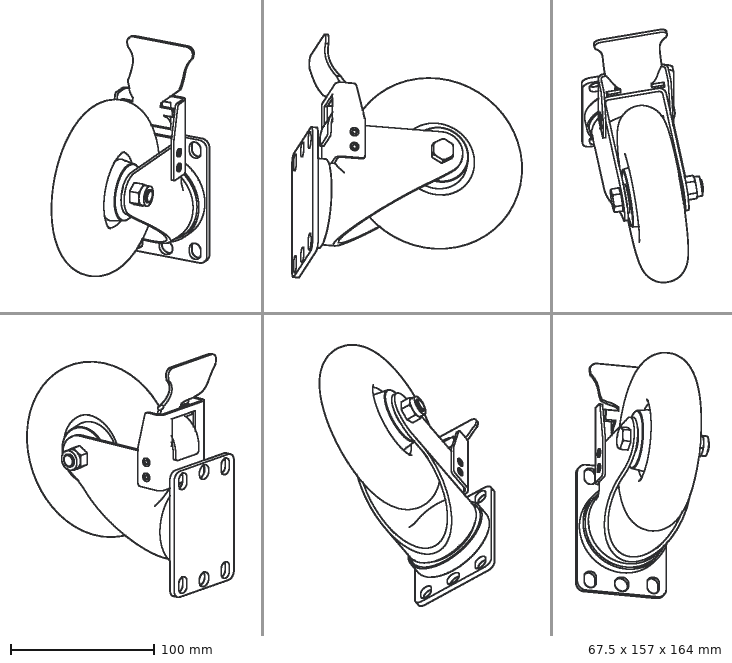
import cadquery as cq
import math


OVERALL_WIDTH = 67.5
OVERALL_DEPTH = 157.0
OVERALL_HEIGHT = 164.0

PLATE_WIDTH = 64.8
PLATE_HEIGHT = 92.0
PLATE_THICKNESS = 4.0
PLATE_CORNER = 6.0
SLOT_X = 23.0
SLOT_Z = 37.9
SLOT_WIDTH = 8.9
SLOT_HEIGHT = 11.8
ROUND_HOLE_DIAMETER = 10.3
ROUND_HOLE_Z = 39.2

CUP_RADIUS = 31.3
CUP_FRONT = 14.0
CUP_WALL = 1.5
CUP_RECESS = 1.6

FORK_SHEET = 2.5
FORK_RADIUS = 28.7
FORK_BEND = 5.0
FORK_WEB_DEPTH = 20.7
FORK_TOP = 52.0
LEG_OUTER = 22.8
BLEND_RADIUS = 20.2
FORK_SLOPE = 33.3

WHEEL_RADIUS = 62.5
TYRE_HALF_WIDTH = 16.0
DISH_DEPTH = 7.9
DISH_FLOOR_RADIUS = 26.9
HUB_RADIUS = 20.3
HUB_ROOT_RADIUS = 21.8
HUB_HALF_WIDTH = 18.2
HUB_CHAMFER = 0.5
SPACER_RADIUS = 10.2
AXLE_Y = WHEEL_RADIUS - OVERALL_DEPTH
AXLE_Z = 36.7

BOLT_RADIUS = 4.6
BOLT_END = OVERALL_WIDTH - PLATE_WIDTH / 2
BOLT_TIP_CHAMFER = 0.7
HEX_FLATS = 14.3
HEX_CHAMFER = 0.7
HEAD_HEIGHT = 5.9
NUT_HEIGHT = 7.4
COLLAR_RADIUS = 7.0
COLLAR_LENGTH = 3.8

BRACKET_SHEET = 2.0
BRACKET_BEND = 4.1
BRACKET_BOTTOM = 27.0
BRACKET_TOP = 82.2
BRACKET_DEPTH = 20.8
BRACKET_TOP_DEPTH = 14.1
BRACKET_SLOPE_Z = 55.1
BRACKET_TOP_CORNER = 2.5
BRACKET_BOTTOM_CORNER = 2.1
WINDOW_WIDTH = 25.0
WINDOW_BOTTOM = 57.2
WINDOW_TOP = 77.2
RIVET_RADIUS = 3.0
RIVET_BORE_RADIUS = 1.5
RIVET_HEIGHT = 0.5
RIVET_Y = -31.7
RIVET_HEIGHTS = (35.0, 46.0)

LEVER_SHEET = 2.3
PAD_BACK_Y = -10.8
PAD_TOP = OVERALL_HEIGHT - PLATE_HEIGHT / 2
PAD_BEND_Z = 109.7
PAD_HALF_WIDTH = 25.9
PAD_CORNER = 5.0
PAD_BOTTOM_HALF_WIDTH = 25.3
LEVER_HALF_WIDTH = 20.2
NECK_Z = 98.0
NECK_RADIUS = 15.9
TONGUE_HALF_WIDTH = 11.0
TAPER_TOP = 88.4
TAPER_BOTTOM = 80.7
SWEEP_RADIUS = 27.9
SWEEP_ANGLE = 63.0
CURL_RADIUS = 8.7
EAR_TOP = 77.9
EAR_BOTTOM = 71.3
HOOK_BACK_Y = -15.4
HOOK_BEND_Z = 52.5
HOOK_BOTTOM = 46.9
HOOK_CORNER = 2.5

LEG_INNER = LEG_OUTER - FORK_SHEET
BRACKET_OUTER = LEG_OUTER + BRACKET_SHEET
BRACKET_BACK_Y = BRACKET_SHEET - FORK_WEB_DEPTH
BRACKET_FRONT_Y = BRACKET_BACK_Y - BRACKET_DEPTH
BEYOND = 164.0


def polar(centre, radius, degrees):
    """Point on a circle, measured from the first axis towards the second."""
    angle = math.radians(degrees)
    return (centre[0] + radius * math.cos(angle), centre[1] + radius * math.sin(angle))


def box_between(x_half, y_range, z_range):
    """Box centred on X = 0."""
    size_y = y_range[1] - y_range[0]
    size_z = z_range[1] - z_range[0]
    box = cq.Workplane("XY").box(2 * x_half, size_y, size_z)
    return box.translate((0, sum(y_range) / 2, sum(z_range) / 2))


def cylinder_y(radius, start, end):
    """Cylinder on the swivel axis between two distances from the mounting face."""
    return cq.Workplane("XZ", origin=(0, -start, 0)).circle(radius).extrude(end - start)


def make_plate():
    plate = cq.Workplane("XZ").rect(PLATE_WIDTH, PLATE_HEIGHT).extrude(PLATE_THICKNESS)
    plate = plate.edges("|Y").fillet(PLATE_CORNER)
    slots = [(x, z) for x in (-SLOT_X, SLOT_X) for z in (-SLOT_Z, SLOT_Z)]
    slot_cut = cq.Workplane("XZ").pushPoints(slots).slot2D(SLOT_HEIGHT, SLOT_WIDTH, 90)
    holes = [(0, -ROUND_HOLE_Z), (0, ROUND_HOLE_Z)]
    hole_cut = cq.Workplane("XZ").pushPoints(holes).circle(ROUND_HOLE_DIAMETER / 2)
    return plate.cut(slot_cut.extrude(PLATE_THICKNESS)).cut(hole_cut.extrude(PLATE_THICKNESS))


def make_bearing_cup():
    cup = cylinder_y(CUP_RADIUS, PLATE_THICKNESS, CUP_FRONT).faces(">Y").edges().fillet(CUP_WALL)
    recess_floor = CUP_FRONT - CUP_RECESS
    recess = cylinder_y(CUP_RADIUS - CUP_WALL, recess_floor, CUP_FRONT)
    neck = cylinder_y(FORK_RADIUS - FORK_BEND, recess_floor, CUP_FRONT)
    return cup.cut(recess).union(neck)


def fork_block(inset):
    """Solid shape of the fork's outer face, moved inwards by `inset`."""
    radius = FORK_RADIUS - inset
    leg = LEG_OUTER - inset
    bend = FORK_BEND - inset
    bowl = cylinder_y(radius, CUP_FRONT + inset, BEYOND).faces(">Y").edges().fillet(bend)

    blend_radius = BLEND_RADIUS + inset
    centre_x = LEG_OUTER + BLEND_RADIUS
    reach = FORK_RADIUS + BLEND_RADIUS
    centre_z = math.sqrt(reach**2 - centre_x**2)
    touch_angle = 180 + math.degrees(math.asin(centre_z / reach))
    touch = polar((centre_x, centre_z), blend_radius, touch_angle)
    middle = polar((centre_x, centre_z), blend_radius, (180 + touch_angle) / 2)
    channel = (
        cq.Workplane("XZ", origin=(0, -FORK_WEB_DEPTH - inset, 0))
        .moveTo(-leg, BEYOND)
        .lineTo(-leg, centre_z)
        .threePointArc((-middle[0], middle[1]), (-touch[0], touch[1]))
        .lineTo(*touch)
        .threePointArc(middle, (leg, centre_z))
        .lineTo(leg, BEYOND)
        .close()
        .extrude(BEYOND)
    )
    channel = channel.faces(">Y").edges("not |X").fillet(bend)
    return bowl.union(channel)


def make_fork():
    sheet = fork_block(0).cut(fork_block(FORK_SHEET))
    axle = (AXLE_Y, AXLE_Z)
    end_radius = FORK_TOP - AXLE_Z
    tangent = polar(axle, end_radius, -90 - FORK_SLOPE)
    run_back = -tangent[0]
    slope_end_z = tangent[1] - run_back * math.tan(math.radians(FORK_SLOPE))
    outline = (
        cq.Workplane("YZ")
        .moveTo(0, FORK_TOP)
        .lineTo(AXLE_Y, FORK_TOP)
        .threePointArc((AXLE_Y - end_radius, AXLE_Z), tangent)
        .lineTo(0, slope_end_z)
        .close()
        .extrude(BEYOND / 2, both=True)
    )
    return sheet.intersect(outline)


def make_bracket():
    def channel(inset):
        block = box_between(
            BRACKET_OUTER - inset,
            (-BEYOND, BRACKET_BACK_Y - inset),
            (BRACKET_BOTTOM, BRACKET_TOP),
        )
        return block.faces(">Y").edges("|Z").fillet(BRACKET_BEND - inset)

    outline = (
        cq.Workplane("YZ")
        .polyline(
            [
                (BRACKET_BACK_Y, BRACKET_BOTTOM),
                (BRACKET_BACK_Y, BRACKET_TOP),
                (BRACKET_BACK_Y - BRACKET_TOP_DEPTH, BRACKET_TOP),
                (BRACKET_FRONT_Y, BRACKET_SLOPE_Z),
                (BRACKET_FRONT_Y, BRACKET_BOTTOM),
            ]
        )
        .close()
        .extrude(BEYOND / 2, both=True)
    )
    outline = outline.faces(">Z").edges("<Y").fillet(BRACKET_TOP_CORNER)
    outline = outline.faces("<Y").edges("<Z").fillet(BRACKET_BOTTOM_CORNER)
    window = box_between(
        WINDOW_WIDTH / 2,
        (BRACKET_BACK_Y - BRACKET_SHEET, BRACKET_BACK_Y),
        (WINDOW_BOTTOM, WINDOW_TOP),
    )
    return channel(0).cut(channel(BRACKET_SHEET)).intersect(outline).cut(window)


def make_rivets():
    """Hollow rivet heads on both outer faces of the bracket."""
    places = [(RIVET_Y, z) for z in RIVET_HEIGHTS]
    heads = (
        cq.Workplane("YZ", origin=(BRACKET_OUTER, 0, 0))
        .pushPoints(places)
        .circle(RIVET_RADIUS)
        .circle(RIVET_BORE_RADIUS)
        .extrude(RIVET_HEIGHT)
    )
    return heads.union(heads.mirror("YZ"))


def lever_profile():
    """Bent lever sheet, seen along X, extruded over the full pad width."""
    front_y = PAD_BACK_Y - LEVER_SHEET
    sweep_centre = (front_y - SWEEP_RADIUS, PAD_BEND_Z)
    curl_centre = polar(sweep_centre, SWEEP_RADIUS + CURL_RADIUS, -SWEEP_ANGLE)
    curl_inner = CURL_RADIUS - LEVER_SHEET

    rise = curl_centre[1] - HOOK_BEND_Z
    back_gap = HOOK_BACK_Y - curl_centre[0]
    hook_back_radius = (rise**2 + back_gap**2 - curl_inner**2) / (2 * (back_gap + curl_inner))
    hook_front_radius = hook_back_radius - LEVER_SHEET
    hook_centre = (HOOK_BACK_Y - hook_back_radius, HOOK_BEND_Z)
    hook_angle = math.degrees(math.atan2(rise, curl_centre[0] - hook_centre[0]))

    sweep_back = SWEEP_RADIUS + LEVER_SHEET
    curl_start = 180 - SWEEP_ANGLE
    curl_end = 180 + hook_angle
    curl_middle = (curl_start + curl_end) / 2
    return (
        cq.Workplane("YZ")
        .moveTo(front_y, PAD_TOP)
        .lineTo(front_y, PAD_BEND_Z)
        .threePointArc(
            polar(sweep_centre, SWEEP_RADIUS, -SWEEP_ANGLE / 2),
            polar(sweep_centre, SWEEP_RADIUS, -SWEEP_ANGLE),
        )
        .threePointArc(
            polar(curl_centre, CURL_RADIUS, curl_middle),
            polar(curl_centre, CURL_RADIUS, curl_end),
        )
        .threePointArc(
            polar(hook_centre, hook_front_radius, hook_angle / 2),
            polar(hook_centre, hook_front_radius, 0),
        )
        .lineTo(HOOK_BACK_Y - LEVER_SHEET, HOOK_BOTTOM)
        .lineTo(HOOK_BACK_Y, HOOK_BOTTOM)
        .lineTo(HOOK_BACK_Y, HOOK_BEND_Z)
        .threePointArc(
            polar(hook_centre, hook_back_radius, hook_angle / 2),
            polar(hook_centre, hook_back_radius, hook_angle),
        )
        .threePointArc(
            polar(curl_centre, curl_inner, curl_middle),
            polar(curl_centre, curl_inner, curl_start),
        )
        .threePointArc(
            polar(sweep_centre, sweep_back, -SWEEP_ANGLE / 2),
            polar(sweep_centre, sweep_back, 0),
        )
        .lineTo(PAD_BACK_Y, PAD_TOP)
        .close()
        .extrude(PAD_HALF_WIDTH, both=True)
    )


def pad_outline():
    """Outline of the pad, its neck and the taper to the tongue, down to the ears."""
    neck_centre = (LEVER_HALF_WIDTH + NECK_RADIUS, NECK_Z)
    flare = math.degrees(math.acos((neck_centre[0] - PAD_BOTTOM_HALF_WIDTH) / NECK_RADIUS))
    neck_middle = polar(neck_centre, NECK_RADIUS, 180 - flare / 2)
    neck_end = polar(neck_centre, NECK_RADIUS, 180 - flare)
    side_z = PAD_TOP - PAD_CORNER
    corner = polar((PAD_HALF_WIDTH - PAD_CORNER, side_z), PAD_CORNER, 45)
    half = (
        cq.Workplane("XZ")
        .moveTo(0, EAR_TOP)
        .lineTo(TONGUE_HALF_WIDTH, EAR_TOP)
        .lineTo(TONGUE_HALF_WIDTH, TAPER_BOTTOM)
        .lineTo(LEVER_HALF_WIDTH, TAPER_TOP)
        .lineTo(LEVER_HALF_WIDTH, NECK_Z)
        .threePointArc(neck_middle, neck_end)
        .lineTo(PAD_HALF_WIDTH, side_z)
        .threePointArc(corner, (PAD_HALF_WIDTH - PAD_CORNER, PAD_TOP))
        .lineTo(0, PAD_TOP)
        .close()
        .extrude(BEYOND)
    )
    return half.union(half.mirror("YZ"))


def make_lever():
    profile = lever_profile()
    upper = profile.intersect(pad_outline())
    ears = profile.intersect(box_between(LEVER_HALF_WIDTH, (-BEYOND, 0), (EAR_BOTTOM, EAR_TOP)))
    hook_blank = box_between(WINDOW_WIDTH / 2, (-BEYOND, 0), (HOOK_BOTTOM, EAR_BOTTOM))
    hook_blank = hook_blank.faces("<Z").edges("|Y").fillet(HOOK_CORNER)
    return upper.union(ears).union(profile.intersect(hook_blank))


def hexagon(start, height, chamfered_face):
    """Hexagon on the axle with corners up and down, rounded off on its outer face."""
    across_corners = HEX_FLATS / math.cos(math.radians(30))
    plane = cq.Workplane("YZ", origin=(start, AXLE_Y, AXLE_Z))
    prism = plane.transformed(rotate=(0, 0, 90)).polygon(6, across_corners).extrude(height)
    envelope = plane.circle(across_corners / 2).extrude(height)
    return prism.intersect(envelope.faces(chamfered_face).edges().chamfer(HEX_CHAMFER))


def make_axle_bolt():
    def rod(radius, start, end):
        return cq.Workplane("YZ", origin=(start, AXLE_Y, AXLE_Z)).circle(radius).extrude(end - start)

    shank = rod(BOLT_RADIUS, -LEG_OUTER, BOLT_END).faces(">X").edges().chamfer(BOLT_TIP_CHAMFER)
    head = hexagon(-LEG_OUTER - HEAD_HEIGHT, HEAD_HEIGHT, "<X")
    nut_end = LEG_OUTER + NUT_HEIGHT
    nut = hexagon(LEG_OUTER, NUT_HEIGHT, ">X")
    collar = rod(COLLAR_RADIUS, nut_end, nut_end + COLLAR_LENGTH)
    return shank.union(head).union(nut).union(collar)


def make_frame():
    """Plate, bearing cup, fork, brake and axle bolt as one solid."""
    frame = make_plate().union(make_bearing_cup()).union(make_fork())
    frame = frame.union(make_bracket()).union(make_rivets()).union(make_lever())
    return frame.union(make_axle_bolt())


def make_wheel():
    """Tyre, dished disc, hub and spacers, revolved about the axle with its bore left open."""

    def revolved(outline):
        return outline.close().revolve(360, (0, 0, 0), (1, 0, 0))

    section = cq.Workplane("XY", origin=(0, AXLE_Y, AXLE_Z))
    shoulder = WHEEL_RADIUS - TYRE_HALF_WIDTH
    tyre = revolved(
        section.moveTo(-TYRE_HALF_WIDTH, BOLT_RADIUS)
        .lineTo(TYRE_HALF_WIDTH, BOLT_RADIUS)
        .lineTo(TYRE_HALF_WIDTH, shoulder)
        .threePointArc((0, WHEEL_RADIUS), (-TYRE_HALF_WIDTH, shoulder))
    )

    floor_x = TYRE_HALF_WIDTH - DISH_DEPTH
    lip_centre = (floor_x, DISH_FLOOR_RADIUS + DISH_DEPTH)
    dish = revolved(
        section.moveTo(floor_x, BOLT_RADIUS)
        .lineTo(floor_x, DISH_FLOOR_RADIUS)
        .threePointArc(polar(lip_centre, DISH_DEPTH, -45), polar(lip_centre, DISH_DEPTH, 0))
        .lineTo(TYRE_HALF_WIDTH, BOLT_RADIUS)
    )

    hub_side = [
        (LEG_INNER, BOLT_RADIUS),
        (LEG_INNER, SPACER_RADIUS),
        (HUB_HALF_WIDTH, SPACER_RADIUS),
        (HUB_HALF_WIDTH, HUB_RADIUS - HUB_CHAMFER),
        (HUB_HALF_WIDTH - HUB_CHAMFER, HUB_RADIUS),
        (floor_x, HUB_ROOT_RADIUS),
    ]
    other_side = [(-x, radius) for x, radius in reversed(hub_side)]
    hub = revolved(section.polyline(hub_side + other_side))
    return tyre.cut(dish).cut(dish.mirror("YZ")).union(hub)


frame = make_frame()
wheel = make_wheel()
result = cq.Compound.makeCompound([frame.val(), wheel.val()])